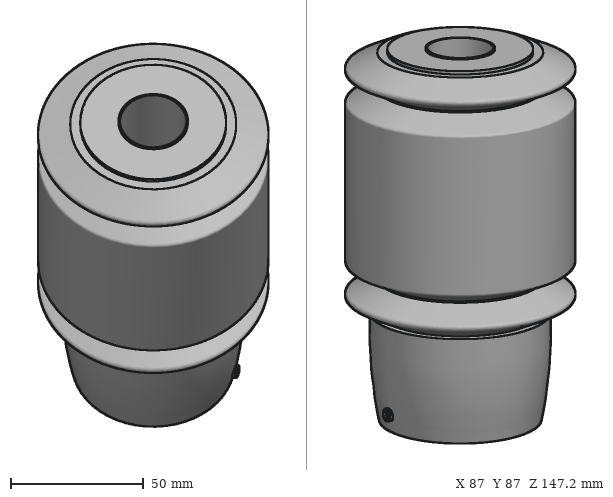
import cadquery as cq
import math

height = 147.2
body_radius = 87.0 / 2
flank_angle = math.radians(25)
flank_slope = math.tan(flank_angle)
valley_radius = 31.4
valley_width = 0.6
rib_nose = 1.5
rib_apex_radius = body_radius + rib_nose * (1 / math.sin(flank_angle) - 1)
lower_rib_z = 49.8
upper_rib_z = 138.9
barrel_fillet = 1.3
edge_search_height = 0.1

plug_radius = 34.2
plug_top = 42.8
plug_middle_radius = 33.7
plug_foot_radius = 30.8
foot_chamfer_height = 0.5
foot_radius = 28.9

shoulder_z = 145.5
disc_radius = 55.0 / 2
disc_top = 146.8
bore_radius = 25.0 / 2
lip_radius = 13.1

pin_radius = 5.0 / 2
pin_z = 7.8
pin_root = 26.5
pin_tip = 33.5
pin_chamfer = 0.5
pin_socket_radius = 1.6
pin_socket_depth = 1.2

rib_half_height = (rib_apex_radius - valley_radius) * flank_slope
groove_rise = (body_radius - valley_radius) * flank_slope
lower_valley_z = lower_rib_z + rib_half_height
upper_valley_z = upper_rib_z - rib_half_height
barrel_bottom = lower_valley_z + valley_width + groove_rise
barrel_top = upper_valley_z - valley_width - groove_rise
plug_join_radius = rib_apex_radius - (lower_rib_z - plug_top) / flank_slope
shoulder_radius = rib_apex_radius - (shoulder_z - upper_rib_z) / flank_slope


def disc(radius, bottom, top):
    return cq.Workplane("XY").workplane(offset=bottom).circle(radius).extrude(top - bottom)


def rib_stack():
    """Barrel between two grooves, with a narrow rib beyond each groove."""
    profile = [
        (0, plug_top),
        (plug_join_radius, plug_top),
        (rib_apex_radius, lower_rib_z),
        (valley_radius, lower_valley_z),
        (valley_radius, lower_valley_z + valley_width),
        (body_radius, barrel_bottom),
        (body_radius, barrel_top),
        (valley_radius, upper_valley_z - valley_width),
        (valley_radius, upper_valley_z),
        (rib_apex_radius, upper_rib_z),
        (shoulder_radius, shoulder_z),
        (0, shoulder_z),
    ]
    stack = cq.Workplane("XZ").polyline(profile).close().revolve(360, (0, 0), (0, 1))
    return round_edges(stack)


def round_edges(stack):
    """Round the outer corners of the barrel and of both ribs."""
    for fillet, radius, levels in (
        (rib_nose, rib_apex_radius, (lower_rib_z, upper_rib_z)),
        (barrel_fillet, body_radius, (barrel_bottom, barrel_top)),
    ):
        for z in levels:
            stack = stack.edges(cq.selectors.BoxSelector(
                (-radius, -radius, z - edge_search_height),
                (radius, radius, z + edge_search_height),
            )).fillet(fillet)
    return stack


def plug():
    """Gently bulging plug with a chamfered foot."""
    plug_middle_z = (plug_top + foot_chamfer_height) / 2
    return (
        cq.Workplane("XZ")
        .moveTo(0, plug_top)
        .lineTo(plug_radius, plug_top)
        .threePointArc((plug_middle_radius, plug_middle_z), (plug_foot_radius, foot_chamfer_height))
        .lineTo(foot_radius, 0)
        .lineTo(0, 0)
        .close()
        .revolve(360, (0, 0), (0, 1))
    )


def pin_cylinder(radius, start, end):
    """Cylinder along +X at the pin height, spanning start to end."""
    return cq.Workplane("YZ", origin=(start, 0, pin_z)).circle(radius).extrude(end - start)


def pin():
    """Pin on the +X side with a chamfered tip."""
    return pin_cylinder(pin_radius, pin_root, pin_tip).faces(">X").edges().chamfer(pin_chamfer)


def pin_socket():
    """Blind round recess in the pin tip."""
    return pin_cylinder(pin_socket_radius, pin_tip - pin_socket_depth, pin_tip)


body = rib_stack().union(plug())
body = body.union(disc(disc_radius, shoulder_z, disc_top))
body = body.union(disc(lip_radius, disc_top, height))
body = body.cut(disc(bore_radius, 0, height))
body = body.union(pin()).union(pin().mirror("YZ"))
result = body.cut(pin_socket()).cut(pin_socket().mirror("YZ"))